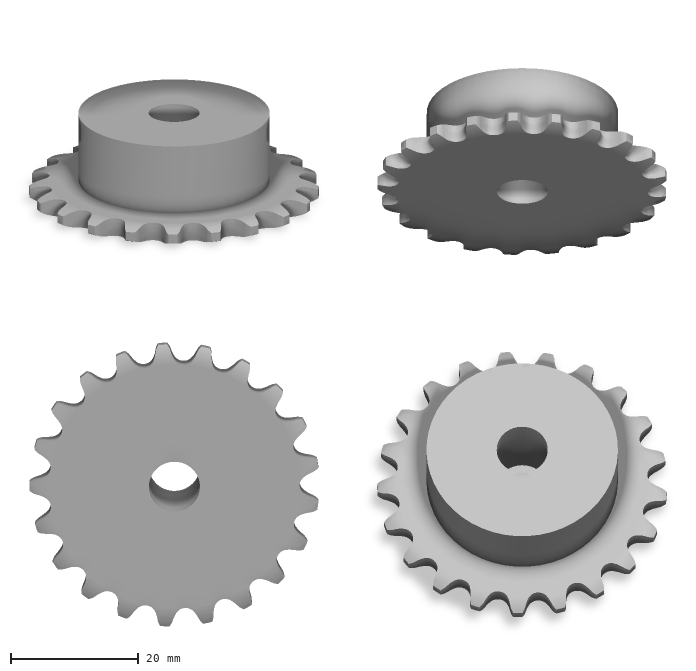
import cadquery as cq
import math

TOOTH_COUNT = 21
CHAIN_PITCH = 6.35
ROLLER_DIAMETER = 3.3
SEAT_CLEARANCE = 0.035
TIP_DIAMETER = 45.4
PLATE_THICKNESS = 2.9
TIP_LAND = 1.45
TOTAL_HEIGHT = 14.0
HUB_DIAMETER = 30.0
BORE_DIAMETER = 8.0
CUT_OVERSHOOT = 0.23

TIP_RADIUS = TIP_DIAMETER / 2

HALF_STEP = 180 / TOOTH_COUNT
PITCH_RADIUS = CHAIN_PITCH / 2 / math.sin(math.radians(HALF_STEP))
SEAT_ANGLE = 35 + 60 / TOOTH_COUNT
WORKING_ANGLE = 18 - 56 / TOOTH_COUNT
SEAT_RADIUS = 0.5025 * ROLLER_DIAMETER + SEAT_CLEARANCE
WORKING_OFFSET = 0.8 * ROLLER_DIAMETER
WORKING_RADIUS = WORKING_OFFSET + SEAT_RADIUS
TOPPING_OFFSET = 1.4 * ROLLER_DIAMETER
GAP_TOP = TIP_RADIUS + CUT_OVERSHOOT

BEVEL_RADIUS = CHAIN_PITCH
BEVEL_DROP = (PLATE_THICKNESS - TIP_LAND) / 2
BEVEL_SWEEP = math.acos(1 - BEVEL_DROP / BEVEL_RADIUS)
FACE_RADIUS = TIP_RADIUS - BEVEL_RADIUS * math.sin(BEVEL_SWEEP)


def point_from(centre, radius, degrees):
    """Point at a distance and a direction from a centre."""
    angle = math.radians(degrees)
    return (centre[0] + radius * math.cos(angle), centre[1] + radius * math.sin(angle))


def mirrored(point):
    """Point reflected across the centreline of the gap."""
    return (-point[0], point[1])


def make_blank():
    """Toothless plate with both rims bevelled by an arc."""
    mid_radius = FACE_RADIUS + BEVEL_RADIUS * math.sin(BEVEL_SWEEP / 2)
    mid_drop = BEVEL_RADIUS * (1 - math.cos(BEVEL_SWEEP / 2))
    return (
        cq.Workplane("XZ")
        .lineTo(FACE_RADIUS, 0)
        .threePointArc((mid_radius, mid_drop), (TIP_RADIUS, BEVEL_DROP))
        .lineTo(TIP_RADIUS, PLATE_THICKNESS - BEVEL_DROP)
        .threePointArc((mid_radius, PLATE_THICKNESS - mid_drop), (FACE_RADIUS, PLATE_THICKNESS))
        .lineTo(0, PLATE_THICKNESS)
        .close()
        .revolve(360, (0, 0), (0, 1))
    )


def make_gap():
    """Cutter for the tooth gap centred on +Y: seat, working arcs, flats and topping arcs."""
    seat_centre = (0, PITCH_RADIUS)
    working_centre = point_from(seat_centre, WORKING_OFFSET, 180 - SEAT_ANGLE)
    topping_centre = point_from(seat_centre, TOPPING_OFFSET, -HALF_STEP)

    seat_bottom = (0, PITCH_RADIUS - SEAT_RADIUS)
    seat_end = point_from(seat_centre, SEAT_RADIUS, -SEAT_ANGLE)
    working_mid = point_from(working_centre, WORKING_RADIUS, WORKING_ANGLE / 2 - SEAT_ANGLE)
    flat_direction = WORKING_ANGLE - SEAT_ANGLE
    working_end = point_from(working_centre, WORKING_RADIUS, flat_direction)

    normal = point_from((0, 0), 1, flat_direction)
    topping_radius = sum((t - w) * n for t, w, n in zip(topping_centre, working_end, normal))
    flat_end = point_from(topping_centre, topping_radius, flat_direction + 180)
    top_rise = GAP_TOP - topping_centre[1]
    topping_end_angle = 180 - math.degrees(math.asin(top_rise / topping_radius))
    topping_mid_angle = (flat_direction + 180 + topping_end_angle) / 2
    topping_mid = point_from(topping_centre, topping_radius, topping_mid_angle)
    topping_end = point_from(topping_centre, topping_radius, topping_end_angle)

    return (
        cq.Workplane("XY")
        .moveTo(*mirrored(topping_end))
        .threePointArc(mirrored(topping_mid), mirrored(flat_end))
        .lineTo(*mirrored(working_end))
        .threePointArc(mirrored(working_mid), mirrored(seat_end))
        .threePointArc(seat_bottom, seat_end)
        .threePointArc(working_mid, working_end)
        .lineTo(*flat_end)
        .threePointArc(topping_mid, topping_end)
        .close()
        .extrude(PLATE_THICKNESS)
    )


def make_sprocket():
    """Toothed plate with a hub on top and a bore through both."""
    sprocket = make_blank()
    gap = make_gap()
    for index in range(TOOTH_COUNT):
        sprocket = sprocket.cut(gap.rotate((0, 0, 0), (0, 0, 1), index * 2 * HALF_STEP))
    hub = cq.Workplane("XY").circle(HUB_DIAMETER / 2).extrude(TOTAL_HEIGHT)
    bore = cq.Workplane("XY").circle(BORE_DIAMETER / 2).extrude(TOTAL_HEIGHT)
    return sprocket.union(hub).cut(bore)


result = make_sprocket()